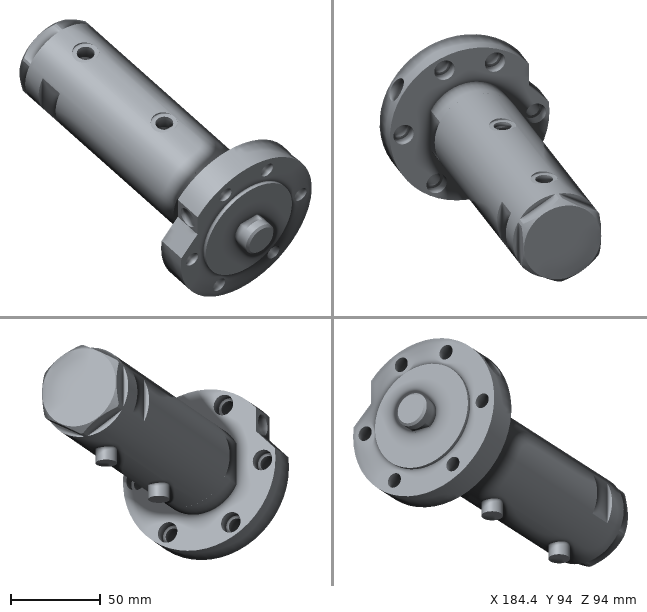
import cadquery as cq
import math

total_length = 184.4

hex_length = 9.0
hex_across_flats = 46.0
cap_chamfer = 3.3
collar_length = 1.8
plug_diameter = 34.0
plug_length = 24.0
barrel_start = hex_length + collar_length
plug_end = barrel_start + plug_length

barrel_diameter = 52.0
barrel_length = 128.2
bore_diameter = plug_diameter
barrel_end = barrel_start + barrel_length

spigot_start = 102.0
spigot_diameter = 45.0
neck_length = 15.0
flange_diameter = 94.0
flange_length = 17.3
pilot_diameter = 62.0
pilot_length = 2.2
flange_start = barrel_end + neck_length
pilot_start = flange_start + flange_length
pilot_end = pilot_start + pilot_length

bush_diameter = 40.2

across_wrench_flats = hex_across_flats
wrench_slot_start = 20.8
wrench_slot_length = 15.0

port_positions = (30.5, 99.4)
port_diameter = 10.0
spotface_diameter = 15.1
spotface_depth = 1.1

bolt_circle_diameter = 78.0
bolt_hole_diameter = 8.7
counterbore_diameter = 12.0
counterbore_depth = 6.5
bolt_angles = (0, 67.5, 112.5, 180, 240, 300)
notch_wall_y = -35.0
notch_corner_z = 17.5
cross_hole_diameter = 12.0
cross_hole_z = 24.0

rod_diameter = 19.7
rod_flats_length = 5.0
across_rod_flats = 16.0
rod_chamfer = 1.3

peg_positions = (34.9, 102.3)
peg_diameter = 12.0
peg_bottom_z = -33.5


def cylinder_x(diameter, start, end):
    """Cylinder on the X axis from start to end."""
    return cq.Workplane("YZ", origin=(start, 0, 0)).circle(diameter / 2).extrude(end - start)


def cylinder_z(diameter, x, bottom, top):
    """Upright cylinder at the given X from bottom to top."""
    return cq.Workplane("XY", origin=(x, 0, bottom)).circle(diameter / 2).extrude(top - bottom)


def side_flats(start, end, outer_diameter):
    """The material outside the wrench flats at both Y sides, between start and end."""
    depth = (outer_diameter - across_wrench_flats) / 2
    offset = (outer_diameter + across_wrench_flats) / 4
    middle = (start + end) / 2
    return (
        cq.Workplane("XY")
        .pushPoints([(middle, -offset), (middle, offset)])
        .box(end - start, depth, outer_diameter)
    )


def make_cap():
    corner_diameter = hex_across_flats / math.cos(math.pi / 6)
    hexagon = (
        cq.Workplane("YZ")
        .transformed(rotate=(0, 0, 90))
        .polygon(6, corner_diameter)
        .extrude(hex_length)
    )
    chamfered_round = cylinder_x(barrel_diameter, 0, hex_length).faces("<X").chamfer(cap_chamfer)
    head = hexagon.intersect(chamfered_round)
    collar = cylinder_x(barrel_diameter, hex_length, barrel_start)
    plug = cylinder_x(plug_diameter, barrel_start, plug_end)
    return head.union(collar).union(plug)


def make_rod():
    rod = cylinder_x(rod_diameter, plug_end, total_length).faces(">X").chamfer(rod_chamfer)
    flat_depth = (rod_diameter - across_rod_flats) / 2
    flat_offset = (rod_diameter + across_rod_flats) / 4
    rod_flats = (
        cq.Workplane("XZ", origin=(pilot_end + rod_flats_length / 2, 0, 0))
        .pushPoints([(0, -flat_offset), (0, flat_offset)])
        .box(rod_flats_length, flat_depth, rod_diameter)
    )
    return rod.cut(rod_flats)


def make_flange():
    flange = cylinder_x(flange_diameter, flange_start, pilot_start)

    radius = flange_diameter / 2
    slope_run = radius + notch_wall_y
    notch = (
        cq.Workplane("YZ", origin=(flange_start, 0, 0))
        .moveTo(notch_wall_y, radius)
        .lineTo(notch_wall_y, notch_corner_z)
        .lineTo(-radius, notch_corner_z - slope_run)
        .lineTo(-radius, radius)
        .close()
        .extrude(flange_length)
    )

    cross_hole = (
        cq.Workplane("XZ", origin=(flange_start + flange_length / 2, 0, cross_hole_z))
        .circle(cross_hole_diameter / 2)
        .extrude(radius, both=True)
    )

    flange = flange.cut(notch).cut(cross_hole)
    for angle in bolt_angles:
        y = bolt_circle_diameter / 2 * math.cos(math.radians(angle))
        z = bolt_circle_diameter / 2 * math.sin(math.radians(angle))
        bolt_hole = cylinder_x(bolt_hole_diameter, flange_start, pilot_start)
        counterbore = cylinder_x(counterbore_diameter, flange_start, flange_start + counterbore_depth)
        flange = flange.cut(bolt_hole.union(counterbore).translate((0, y, z)))
    return flange


def make_bush(rod):
    return cylinder_x(bush_diameter, flange_start, pilot_end).cut(rod)


def make_head(rod, bush):
    """Spigot, neck, flange and pilot, with the bore that the rod and the bush fit into."""
    spigot = cylinder_x(spigot_diameter, spigot_start, barrel_end)
    neck = cylinder_x(barrel_diameter, barrel_end, flange_start)
    neck = neck.cut(side_flats(barrel_end, flange_start, barrel_diameter))
    pilot = cylinder_x(pilot_diameter, pilot_start, pilot_end)
    return spigot.union(neck).union(make_flange()).union(pilot).cut(bush).cut(rod)


def make_barrel():
    barrel = cylinder_x(barrel_diameter, barrel_start, barrel_end)
    wrench_slot_end = wrench_slot_start + wrench_slot_length
    barrel = barrel.cut(side_flats(wrench_slot_start, wrench_slot_end, barrel_diameter))

    for x in peg_positions:
        barrel = barrel.union(cylinder_z(peg_diameter, x, peg_bottom_z, -bore_diameter / 2))

    top = barrel_diameter / 2
    for x in port_positions:
        barrel = barrel.cut(cylinder_z(port_diameter, x, 0, top))
        barrel = barrel.cut(cylinder_z(spotface_diameter, x, top - spotface_depth, top))

    bore = cylinder_x(bore_diameter, barrel_start, spigot_start)
    spigot_recess = cylinder_x(spigot_diameter, spigot_start, barrel_end)
    return barrel.cut(bore).cut(spigot_recess)


cap = make_cap()
rod = make_rod()
bush = make_bush(rod)
head = make_head(rod, bush)
barrel = make_barrel()

result = cq.Compound.makeCompound([cap.val(), barrel.val(), head.val(), bush.val(), rod.val()])